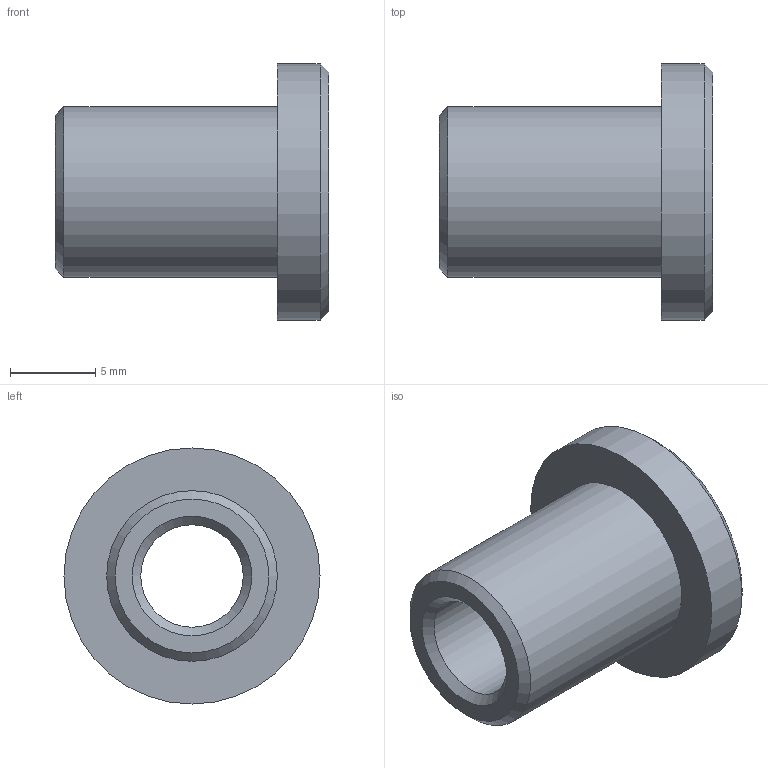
import cadquery as cq

total_length = 16.0
flange_thickness = 3.0
flange_diameter = 15.0
sleeve_diameter = 10.0
bore_diameter = 6.0
chamfer_size = 0.5

sleeve_length = total_length - flange_thickness


def make_sleeve():
    """Cylindrical sleeve starting at X = 0, chamfered at its free end."""
    sleeve = cq.Workplane("YZ").circle(sleeve_diameter / 2).extrude(total_length)
    return sleeve.faces("<X").chamfer(chamfer_size)


def make_flange():
    """Round flange at the +X end, chamfered on its outer rim."""
    flange = (
        cq.Workplane("YZ", origin=(sleeve_length, 0, 0))
        .circle(flange_diameter / 2)
        .extrude(flange_thickness)
    )
    return flange.faces(">X").chamfer(chamfer_size)


def cut_bore(body):
    """Through bore with a chamfered mouth at the sleeve's free end."""
    bore = cq.Workplane("YZ").circle(bore_diameter / 2).extrude(total_length)
    bored = body.cut(bore)
    mouth_edge = bored.faces("<X").edges(cq.selectors.RadiusNthSelector(0))
    return mouth_edge.chamfer(chamfer_size)


result = cut_bore(make_sleeve().union(make_flange()))